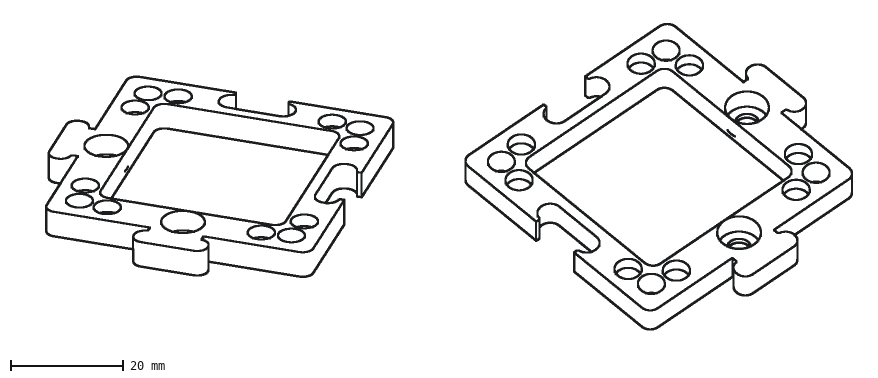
import cadquery as cq

frame_side = 50.0
thickness = 5.1
wall = 7.65
corner_radius = 2.0
window_side = frame_side - 2 * wall
half_side = frame_side / 2

overall_length = 55.4
neck_width = 10.0
neck_fillet = 0.35
tab_reach = overall_length - frame_side
tab_bar_length = 13.9
tab_bar_width = 4.15
tab_bar_radius = 2.0
socket_depth = 5.5
socket_bar_length = 14.25
socket_bar_width = 4.55
socket_bar_radius = 2.2

corner_hole_diameter = 4.8
corner_hole_offset = 19.9
pocket_diameter = 4.9
pocket_depth = 2.4
pocket_near_offset = 14.45
pocket_far_offset = 20.55

screw_hole_diameter = 4.3
counterbore_diameter = 7.8
counterbore_depth = 4.05
screw_edge_distance = 3.7
screw_offset = half_side - screw_edge_distance


def rounded_square(side):
    """Full-thickness square block with rounded vertical edges."""
    return cq.Workplane("XY").rect(side, side).extrude(thickness).edges("|Z").fillet(corner_radius)


def joint_block(root_y, reach, bar_length, bar_width, bar_radius):
    """Neck from root_y toward -Y, ending in a wider round-cornered bar, with fillets where they meet."""
    bar_y = root_y - reach + bar_width / 2
    neck_length = root_y - bar_y
    neck_y = root_y - neck_length / 2
    neck = cq.Workplane("XY").center(0, neck_y).rect(neck_width, neck_length).extrude(thickness)
    bar = cq.Workplane("XY").center(0, bar_y).rect(bar_length, bar_width).extrude(thickness)
    joint = neck.union(bar.edges("|Z").fillet(bar_radius))

    reach_x = neck_width / 2 + neck_fillet
    box_start = (-reach_x, bar_y, 0)
    box_end = (reach_x, root_y - neck_fillet, thickness)
    inner_corners = cq.selectors.BoxSelector(box_start, box_end)
    return joint.edges("|Z").edges(inner_corners).fillet(neck_fillet)


def rotated(body, angle):
    """Body turned about the Z axis."""
    return body.rotate((0, 0, 0), (0, 0, 1), angle)


def round_cutter(points, diameter, depth):
    """Cylinders going down from the top face at the given points."""
    top = cq.Workplane("XY", origin=(0, 0, thickness))
    return top.pushPoints(points).circle(diameter / 2).extrude(-depth)


result = rounded_square(frame_side).cut(rounded_square(window_side))

tab = joint_block(-half_side, tab_reach, tab_bar_length, tab_bar_width, tab_bar_radius)
for angle in (0, -90):
    result = result.union(rotated(tab, angle))

socket = joint_block(half_side, socket_depth, socket_bar_length, socket_bar_width, socket_bar_radius)
for angle in (0, -90):
    result = result.cut(rotated(socket, angle))

signs = [(x, y) for x in (-1, 1) for y in (-1, 1)]
corner_points = [(x * corner_hole_offset, y * corner_hole_offset) for x, y in signs]
pocket_points = [(x * pocket_near_offset, y * pocket_far_offset) for x, y in signs]
pocket_points += [(x * pocket_far_offset, y * pocket_near_offset) for x, y in signs]
result = result.cut(round_cutter(corner_points, corner_hole_diameter, thickness))
result = result.cut(round_cutter(pocket_points, pocket_diameter, pocket_depth))

screw_points = [(-screw_offset, 0), (0, -screw_offset)]
result = result.cut(round_cutter(screw_points, screw_hole_diameter, thickness))
result = result.cut(round_cutter(screw_points, counterbore_diameter, counterbore_depth))